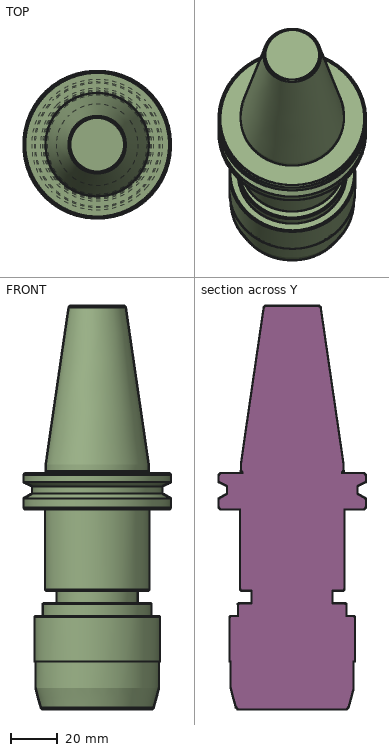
import cadquery as cq

total_height = 173.4
nut_nose_top = 9.2
nut_step = 20.6
nut_top = 40.2
collar_top = 45.8
body_bottom = 51.0
flange_bottom = 85.8
flange_top = 101.6
undercut_top = 102.5
gauge_line = 105.0

nut_nose_radius = 24.3
nut_lower_radius = 26.5
nut_radius = 27.0
collar_radius = 23.4
neck_radius = 17.5
body_radius = 22.5
flange_radius = 31.7
groove_radius = 28.1
undercut_radius = 21.3
gauge_radius = 22.2

taper_per_side = 7 / 48
taper_end_radius = gauge_radius - taper_per_side * (total_height - gauge_line)

groove_mouth_bottom = 90.7
groove_floor_bottom = 92.8
groove_floor_top = 95.9
groove_mouth_top = 97.6

nose_chamfer = 0.9
nut_chamfer = 0.5
body_chamfer = 0.7
flange_chamfer = 0.9
shank_chamfer = 0.7

nut_profile = [
    (0, 0),
    (nut_nose_radius - nose_chamfer, 0),
    (nut_nose_radius, nose_chamfer),
    (nut_lower_radius, nut_nose_top),
    (nut_lower_radius, nut_step),
    (nut_radius, nut_step),
    (nut_radius, nut_top - nut_chamfer),
    (nut_radius - nut_chamfer, nut_top),
    (collar_radius, nut_top),
    (collar_radius, collar_top - nut_chamfer),
    (collar_radius - nut_chamfer, collar_top),
]

body_profile = [
    (neck_radius, collar_top),
    (neck_radius, body_bottom),
    (body_radius - body_chamfer, body_bottom),
    (body_radius, body_bottom + body_chamfer),
    (body_radius, flange_bottom),
]

flange_profile = [
    (flange_radius - flange_chamfer, flange_bottom),
    (flange_radius, flange_bottom + flange_chamfer),
    (flange_radius, groove_mouth_bottom),
    (groove_radius, groove_floor_bottom),
    (groove_radius, groove_floor_top),
    (flange_radius, groove_mouth_top),
    (flange_radius, flange_top - flange_chamfer),
    (flange_radius - flange_chamfer, flange_top),
]

shank_profile = [
    (undercut_radius, flange_top),
    (gauge_radius, undercut_top),
    (gauge_radius, gauge_line),
    (taper_end_radius + taper_per_side * shank_chamfer, total_height - shank_chamfer),
    (taper_end_radius - shank_chamfer, total_height),
    (0, total_height),
]

result = (
    cq.Workplane("XZ")
    .polyline(nut_profile + body_profile + flange_profile + shank_profile)
    .close()
    .revolve(360, (0, 0, 0), (0, 1, 0))
)